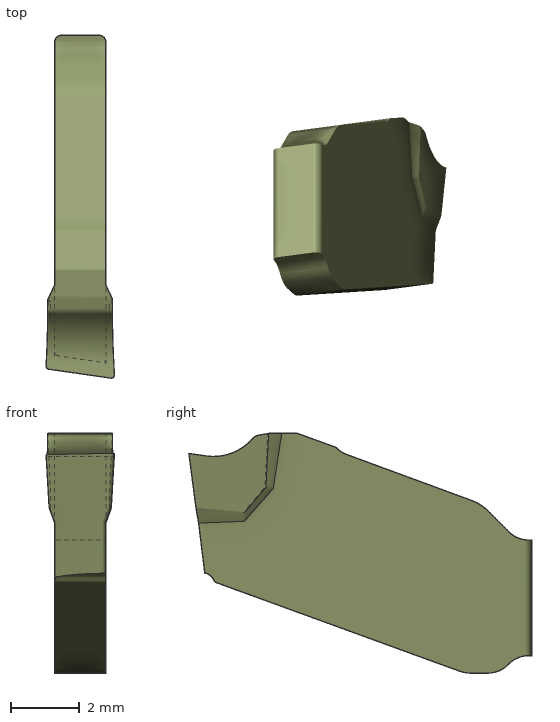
import math

import cadquery as cq


plate_width = 1.5
height = 7.0
tip_reach = 10.014
slant = 20.0
ramp = 45.0
back_bottom_height = 0.51
back_top_height = 3.89
back_edge_radius = 0.2

neck_reach = 0.431
neck_radius = 0.8
heel_radius = 0.85
keel_reach = 1.94
keel_radius = 1.0
toe_reach = 9.23
toe_slope = 58.0
toe_edge_radius = 0.1
toe_radius = 0.3
toe_undercut_height = 2.92

shoulder_slope = (ramp + slant) / 2
shoulder_reach = 1.372
shoulder_length = 0.256
shoulder_radius = 1.0
step_reach = 5.555
step_length = 0.145
step_root_radius = 0.65
step_crest_radius = 0.15
ridge_reach = 6.84
ridge_radius = 0.2
brow_reach = 7.64
brow_slope = 10.0
brow_radius = 0.45
crest_reach = 8.062
crest_radius = 0.3
groove_slope = 48.0
groove_radius = 1.5
tip_height = 6.413
rake_slope = 8.0

head_width = 2.012
front_tilt = 7.0
front_skew = 8.0
front_edge_radius = 0.1
side_taper = 2.5
side_relief = 3.0

flare_top = (7.286, 7.0)
flare_bottom = (7.533, 5.395)
belly_front = (8.377, 4.43)
head_floor_front = (9.52, 4.385)
flare_angle = 26.0
belly_angle = 30.0
floor_angle = 20.0
rise_corner_radius = 0.2

stock = 40.0
tolerance = 1e-4
overrun = 0.3


def tan(angle):
    return math.tan(math.radians(angle))


def sin(angle):
    return math.sin(math.radians(angle))


def cos(angle):
    return math.cos(math.radians(angle))


def profile_corners():
    """Corners of the side profile as (reach, height, corner radius)."""
    heel_reach = neck_reach + back_bottom_height / tan(ramp)
    toe_height = (toe_reach - keel_reach) * tan(slant)
    undercut_reach = toe_reach + (toe_undercut_height - toe_height) / tan(toe_slope)
    end_reach = tip_reach + overrun
    end_height = tip_height + overrun * tan(rake_slope)
    crest_height = height - (crest_reach - brow_reach) * tan(brow_slope)
    groove_depth = crest_height - end_height + (end_reach - crest_reach) * tan(rake_slope)
    groove_reach = crest_reach + groove_depth / (tan(groove_slope) + tan(rake_slope))
    groove_height = crest_height - (groove_reach - crest_reach) * tan(groove_slope)
    step_top_reach = step_reach + step_length
    step_top_height = height - (ridge_reach - step_top_reach) * tan(slant)
    step_height = step_top_height - step_length * tan(ramp)
    shoulder_height = back_top_height + (shoulder_reach - neck_reach) * tan(ramp)
    shoulder_top_height = shoulder_height + shoulder_length * tan(shoulder_slope)
    return [
        (0, back_bottom_height, 0),
        (neck_reach, back_bottom_height, neck_radius),
        (heel_reach, 0, heel_radius),
        (keel_reach, 0, keel_radius),
        (toe_reach, toe_height, toe_edge_radius),
        (undercut_reach, toe_undercut_height, toe_radius),
        (end_reach, toe_undercut_height, 0),
        (end_reach, end_height, 0),
        (groove_reach, groove_height, groove_radius),
        (crest_reach, crest_height, crest_radius),
        (brow_reach, height, brow_radius),
        (ridge_reach, height, ridge_radius),
        (step_top_reach, step_top_height, step_crest_radius),
        (step_reach, step_height, step_root_radius),
        (shoulder_reach + shoulder_length, shoulder_top_height, shoulder_radius),
        (shoulder_reach, shoulder_height, shoulder_radius),
        (neck_reach, back_top_height, neck_radius),
        (0, back_top_height, 0),
    ]


def rounded_corner(before, corner, after, radius):
    """Start, middle and end points of the arc that rounds a corner."""
    to_before = (before - corner).normalized()
    to_after = (after - corner).normalized()
    half_angle = to_before.getAngle(to_after) / 2
    setback = radius / math.tan(half_angle)
    gap = radius / math.sin(half_angle) - radius
    bisector = (to_before + to_after).normalized()
    return corner + to_before * setback, corner + bisector * gap, corner + to_after * setback


def slab(width):
    """The side profile extruded symmetrically about X = 0."""
    corners = profile_corners()
    points = [cq.Vector(-reach, z, 0) for reach, z, _ in corners]
    outline = cq.Workplane("YZ").moveTo(points[0].x, points[0].y)
    for i in range(1, len(corners)):
        radius = corners[i][2]
        if radius == 0:
            outline = outline.lineTo(points[i].x, points[i].y)
            continue
        start, middle, end = rounded_corner(points[i - 1], points[i], points[i + 1], radius)
        outline = outline.lineTo(start.x, start.y)
        outline = outline.threePointArc((middle.x, middle.y), (end.x, end.y))
    return outline.close().extrude(width / 2, both=True)


def half_space(point, normal):
    """A large block that fills everything on the normal side of a plane."""
    plane = cq.Plane(origin=point, normal=normal)
    return cq.Workplane(plane).rect(stock, stock).extrude(stock)


def front_reach(x):
    """Reach of the sharp cutting edge at a given X."""
    return tip_reach - (head_width / 2 - x) * tan(front_skew)


def front_direction():
    """Outward direction of the front face."""
    return cq.Vector(-tan(front_skew), -1, -tan(front_tilt)).normalized()


def front_waste():
    """Everything in front of the skewed, tilted front face."""
    corner = (head_width / 2, -tip_reach, tip_height)
    return half_space(corner, front_direction())


def rise_waste(side, start, end, angle):
    """Material outside a face rising at an angle from a line on the plate side."""
    along_reach = end[0] - start[0]
    along_height = end[1] - start[1]
    length = math.hypot(along_reach, along_height)
    away_reach = along_height / length
    away_height = -along_reach / length
    point = (side * plate_width / 2, -start[0], start[1])
    normal = (side * cos(angle), -away_reach * sin(angle), away_height * sin(angle))
    return half_space(point, normal)


def flank_waste(side):
    """Material outside the tapered, relieved side face of the head."""
    corner_x = side * head_width / 2
    corner = (corner_x, -front_reach(corner_x), tip_height)
    return half_space(corner, (side, tan(side_taper), -tan(side_relief)))


def cutting_head():
    head = slab(head_width + overrun)
    for side in (-1, 1):
        head = head.cut(flank_waste(side))
        head = head.cut(rise_waste(side, flare_top, flare_bottom, flare_angle))
        head = head.cut(rise_waste(side, flare_bottom, belly_front, belly_angle))
        head = head.cut(rise_waste(side, belly_front, head_floor_front, floor_angle))
    return head


def soften_rise_corners(body):
    """Round the short edges that start at the two lower corners of the rise."""
    for side in (-1, 1):
        for reach, z in (flare_bottom, belly_front):
            corner = cq.Vertex.makeVertex(side * plate_width / 2, -reach, z)
            meeting = [edge for edge in body.edges().vals() if edge.distance(corner) < tolerance]
            rising = max(meeting, key=lambda edge: side * edge.Center().x)
            body = body.newObject([rising]).fillet(rise_corner_radius)
    return body


def round_front_edges(body):
    """Round the upright edges between the front face and both sides."""
    outward = front_direction()
    facing = [face for face in body.faces().vals() if face.normalAt().getAngle(outward) < tolerance]
    front = max(facing, key=lambda face: face.Area())
    upright = [edge for edge in front.Edges() if abs(edge.tangentAt(0.5).z) > sin(ramp)]
    return body.newObject(upright).fillet(front_edge_radius)


plate = slab(plate_width).edges("|Z and >Y").fillet(back_edge_radius)
sharp_body = plate.union(cutting_head()).cut(front_waste())
result = round_front_edges(soften_rise_corners(sharp_body))